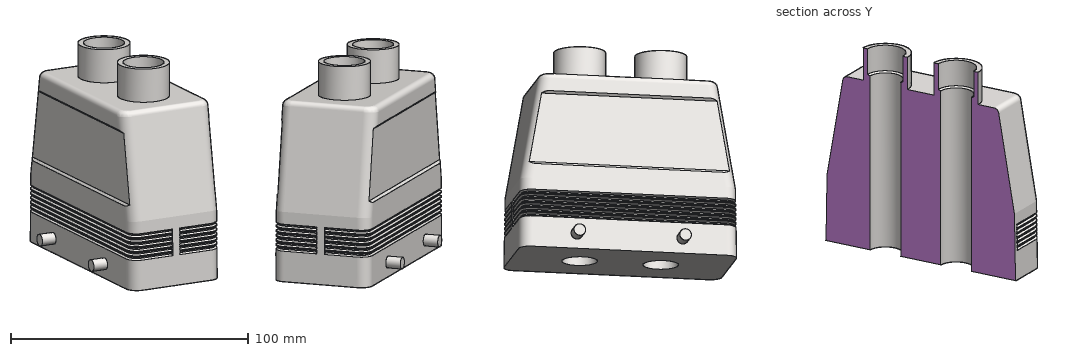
import cadquery as cq
import math

BASE_LENGTH = 93.5
BODY_WIDTH = 43.0
BODY_HEIGHT = 76.0
SHOULDER_HEIGHT = 30.0
SKIRT_DRAFT = 1.0
UPPER_DRAFT = 10.0
CORNER_RADIUS = 5.0
TOP_RADIUS = 2.5

RECESS_BOTTOM = 36.0
RECESS_TOP = 68.0
RECESS_DEPTH = 1.0

GROOVE_COUNT = 6
GROOVE_PITCH = 2.0
FIRST_GROOVE_HEIGHT = 14.0
GROOVE_MOUTH = 1.6
GROOVE_FLOOR = 0.5
GROOVE_DEPTH = 1.0
END_LAND_WIDTH = 3.5

COLLAR_SPACING = 34.8
COLLAR_DIAMETER = 22.0
COLLAR_TOP = 90.5
BORE_DIAMETER = 17.3
BORE_DEPTH = 11.5
PASSAGE_DIAMETER = 15.0
BORE_CONE_ANGLE = 25.0

PIN_SPACING = 45.4
PIN_DIAMETER = 5.0
PIN_SPAN = 56.0
PIN_HEIGHT = 6.5

CLEARANCE = 5.0


def skirt_half_length(z):
    """Half length of the drafted skirt at height z."""
    return BASE_LENGTH / 2 - z * math.tan(math.radians(SKIRT_DRAFT))


def make_body():
    """Solid hood: drafted skirt, tapered upper part, rounded corners and top."""
    half_base = skirt_half_length(0)
    half_shoulder = skirt_half_length(SHOULDER_HEIGHT)
    taper_height = BODY_HEIGHT - SHOULDER_HEIGHT
    half_top = half_shoulder - taper_height * math.tan(math.radians(UPPER_DRAFT))
    outline = [
        (-half_base, 0),
        (half_base, 0),
        (half_shoulder, SHOULDER_HEIGHT),
        (half_top, BODY_HEIGHT),
        (-half_top, BODY_HEIGHT),
        (-half_shoulder, SHOULDER_HEIGHT),
    ]
    block = cq.Workplane("XZ").polyline(outline).close().extrude(BODY_WIDTH / 2, both=True)
    upright_corners = block.edges("not(#Z or |Y)")
    rounded = upright_corners.fillet(CORNER_RADIUS)
    return rounded.faces(">Z").edges().fillet(TOP_RADIUS)


def make_recess(side):
    """Cutter for the recess on the +Y (side=1) or -Y (side=-1) face."""
    face = side * BODY_WIDTH / 2
    floor = face - side * RECESS_DEPTH
    outside = face + side * CLEARANCE
    reach = RECESS_DEPTH + CLEARANCE
    profile = [
        (floor, RECESS_BOTTOM + RECESS_DEPTH),
        (floor, RECESS_TOP - RECESS_DEPTH),
        (outside, RECESS_TOP - RECESS_DEPTH + reach),
        (outside, RECESS_BOTTOM + RECESS_DEPTH - reach),
    ]
    return cq.Workplane("YZ").polyline(profile).close().extrude(BASE_LENGTH / 2, both=True)


def groove_section(z, middle, inset):
    """Rounded outline at height z: the skirt's outline at height middle, drawn in by inset."""
    section = cq.Sketch().rect(2 * (skirt_half_length(middle) - inset), BODY_WIDTH - 2 * inset)
    section = section.vertices().fillet(CORNER_RADIUS - inset)
    return section.moved(cq.Location(cq.Vector(0, 0, z)))


def make_groove(middle):
    """Ring cutter for one groove with sloping walls, centred at height middle."""
    half_mouth = GROOVE_MOUTH / 2
    half_floor = GROOVE_FLOOR / 2
    levels = [
        (middle - half_mouth, 0),
        (middle - half_floor, GROOVE_DEPTH),
        (middle + half_floor, GROOVE_DEPTH),
        (middle + half_mouth, 0),
    ]
    sections = [groove_section(z, middle, inset) for z, inset in levels]
    core = cq.Workplane("XY").placeSketch(*sections).loft(ruled=True)
    ring = cq.Workplane("XY").box(BASE_LENGTH + CLEARANCE, BODY_WIDTH + CLEARANCE, GROOVE_MOUTH)
    land = cq.Workplane("XY").box(BASE_LENGTH + 2 * CLEARANCE, END_LAND_WIDTH, 2 * GROOVE_MOUTH)
    ring = ring.translate((0, 0, middle))
    land = land.translate((0, 0, middle))
    return ring.cut(core).cut(land)


def make_collar(x):
    """Outer cylinder of a cable entry, rooted below the top of the hood."""
    root = BODY_HEIGHT - TOP_RADIUS
    collar = cq.Workplane("XY", origin=(x, 0, root)).circle(COLLAR_DIAMETER / 2)
    return collar.extrude(COLLAR_TOP - root)


def make_entry_hole(x):
    """Bore of a cable entry, narrowing in a shallow cone to the passage through the hood."""
    bore_radius = BORE_DIAMETER / 2
    passage_radius = PASSAGE_DIAMETER / 2
    bore_bottom = COLLAR_TOP - BORE_DEPTH
    cone_slope = math.tan(math.radians(BORE_CONE_ANGLE))
    cone_bottom = bore_bottom - (bore_radius - passage_radius) * cone_slope
    half_section = [
        (0, 0),
        (passage_radius, 0),
        (passage_radius, cone_bottom),
        (bore_radius, bore_bottom),
        (bore_radius, COLLAR_TOP),
        (0, COLLAR_TOP),
    ]
    hole = cq.Workplane("XZ").polyline(half_section).close().revolve(360, (0, 0, 0), (0, 1, 0))
    return hole.translate((x, 0, 0))


def make_pin(x, side):
    """Locking pin standing out of the +Y (side=1) or -Y (side=-1) face."""
    length = (PIN_SPAN - BODY_WIDTH) / 2 + RECESS_DEPTH
    root = side * (PIN_SPAN / 2 - length)
    pin = cq.Workplane("XZ", origin=(x, root, PIN_HEIGHT)).circle(PIN_DIAMETER / 2)
    return pin.extrude(-side * length)


result = make_body()

for side in (-1, 1):
    result = result.cut(make_recess(side))

for index in range(GROOVE_COUNT):
    result = result.cut(make_groove(FIRST_GROOVE_HEIGHT + index * GROOVE_PITCH))

for x in (-COLLAR_SPACING / 2, COLLAR_SPACING / 2):
    result = result.union(make_collar(x)).cut(make_entry_hole(x))

for x in (-PIN_SPACING / 2, PIN_SPACING / 2):
    for side in (-1, 1):
        result = result.union(make_pin(x, side))